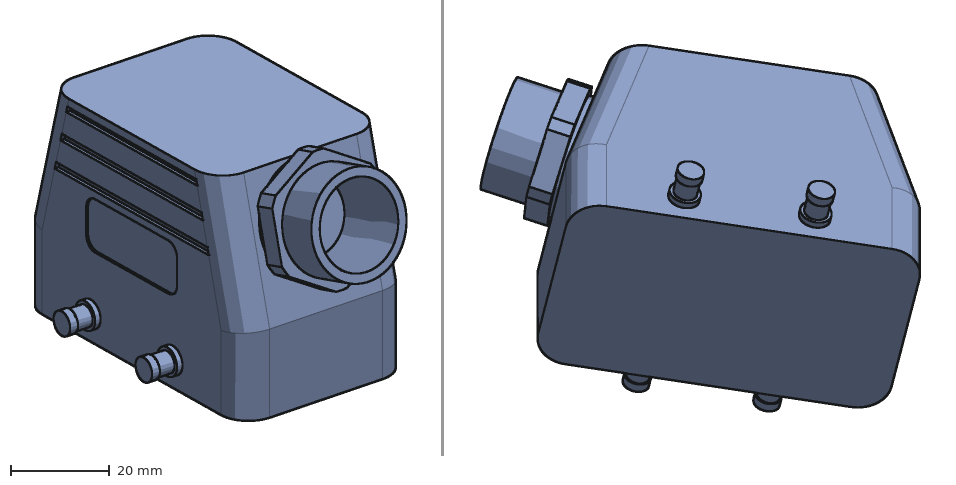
import cadquery as cq
import math

BODY_LENGTH = 73.0
BODY_WIDTH = 43.0
BODY_HEIGHT = 52.0
BEND_HEIGHT = 20.0
END_TILT = 15.0
CORNER_RADIUS = 7.0

GROOVES = [(50.0, 1.3), (43.2, 1.6), (36.1, 1.6)]
GROOVE_DEPTH = 1.0

PANEL_LENGTH = 30.0
PANEL_HEIGHT = 12.0
PANEL_RADIUS = 3.0
PANEL_DEPTH = 0.5
PANEL_CENTER_HEIGHT = 26.7

PIN_SPACING = 27.0
PIN_HEIGHT = 6.3
PIN_COLLAR = (6.5, 1.4)
PIN_STEM = (4.9, 4.0)
PIN_HEAD = (5.5, 2.0)

GLAND_HEIGHT = 39.0
COLLAR_DIAMETER = 26.0
COLLAR_LENGTH = 1.5
HEX_SIDES = 6
HEX_ACROSS_FLATS = 27.0
HEX_CORNER_DIAMETER = 29.7
HEX_LENGTH = 5.0
SLEEVE_DIAMETER = 24.0
SLEEVE_LENGTH = 10.0
BORE_MOUTH_DIAMETER = 19.8
BORE_INNER_DIAMETER = 17.0

HALF_LENGTH = BODY_LENGTH / 2
HALF_WIDTH = BODY_WIDTH / 2
TILT_TANGENT = math.tan(math.radians(END_TILT))


def end_wall_x(height):
    """X of the leaning +X end wall at a height above the bend line."""
    return HALF_LENGTH - (height - BEND_HEIGHT) * TILT_TANGENT


def make_body():
    """Solid hood with leaning end walls and rounded corners."""
    top_x = end_wall_x(BODY_HEIGHT)
    outline = [
        (-HALF_LENGTH, 0),
        (HALF_LENGTH, 0),
        (HALF_LENGTH, BEND_HEIGHT),
        (top_x, BODY_HEIGHT),
        (-top_x, BODY_HEIGHT),
        (-HALF_LENGTH, BEND_HEIGHT),
    ]
    block = cq.Workplane("XZ").polyline(outline).close().extrude(HALF_WIDTH, both=True)
    return block.edges("not (|X or |Y)").fillet(CORNER_RADIUS)


def front_plane():
    """Workplane on the front wall; extruding by a negative distance goes into the body."""
    return cq.Workplane("XZ", origin=(0, -HALF_WIDTH, 0))


def make_groove(top, height):
    """Groove across the flat part of the front wall, ending where the corners start to curve."""
    corner_setback = CORNER_RADIUS / math.cos(math.radians(END_TILT))
    bottom = top - height
    top_x = end_wall_x(top) - corner_setback
    bottom_x = end_wall_x(bottom) - corner_setback
    outline = [(-bottom_x, bottom), (bottom_x, bottom), (top_x, top), (-top_x, top)]
    return front_plane().polyline(outline).close().extrude(-GROOVE_DEPTH)


def make_panel():
    """Cutter for the name panel, with rounded corners."""
    panel = front_plane().center(0, PANEL_CENTER_HEIGHT).rect(PANEL_LENGTH, PANEL_HEIGHT)
    return panel.extrude(-PANEL_DEPTH).edges("|Y").fillet(PANEL_RADIUS)


def make_pin(x):
    """Stepped pin standing on the front wall."""
    pin = None
    base = HALF_WIDTH
    for diameter, length in (PIN_COLLAR, PIN_STEM, PIN_HEAD):
        step = cq.Workplane("XZ", origin=(x, -base, PIN_HEIGHT)).circle(diameter / 2).extrude(length)
        pin = step if pin is None else pin.union(step)
        base += length
    return pin


def gland_plane(offset):
    """Plane square to the gland axis at a distance from the end wall; its local x runs along Y."""
    tilt = math.radians(END_TILT)
    axis = cq.Vector(math.cos(tilt), 0, math.sin(tilt))
    foot = cq.Vector(end_wall_x(GLAND_HEIGHT), 0, GLAND_HEIGHT)
    return cq.Workplane(cq.Plane(foot + axis * offset, (0, 1, 0), axis))


def make_gland():
    """Round collar, hexagon with turned-off corners, and round sleeve in line."""
    hex_start = COLLAR_LENGTH
    sleeve_start = hex_start + HEX_LENGTH
    hex_corner_span = HEX_ACROSS_FLATS / math.cos(math.pi / HEX_SIDES)
    half_side_angle = 180 / HEX_SIDES
    collar = gland_plane(0).circle(COLLAR_DIAMETER / 2).extrude(COLLAR_LENGTH)
    hexagon = (
        gland_plane(hex_start)
        .transformed(rotate=(0, 0, half_side_angle))
        .polygon(HEX_SIDES, hex_corner_span)
        .extrude(HEX_LENGTH)
    )
    turned_blank = gland_plane(hex_start).circle(HEX_CORNER_DIAMETER / 2).extrude(HEX_LENGTH)
    sleeve = gland_plane(sleeve_start).circle(SLEEVE_DIAMETER / 2).extrude(SLEEVE_LENGTH)
    return collar.union(hexagon.intersect(turned_blank)).union(sleeve)


def make_bore():
    """Tapered bore through the whole gland, narrowing towards the end wall."""
    return (
        gland_plane(0)
        .circle(BORE_INNER_DIAMETER / 2)
        .workplane(offset=COLLAR_LENGTH + HEX_LENGTH + SLEEVE_LENGTH)
        .circle(BORE_MOUTH_DIAMETER / 2)
        .loft()
    )


result = make_body()
for groove_top, groove_height in GROOVES:
    result = result.cut(make_groove(groove_top, groove_height))
result = result.cut(make_panel())
for pin_x in (-PIN_SPACING / 2, PIN_SPACING / 2):
    front_pin = make_pin(pin_x)
    result = result.union(front_pin).union(front_pin.mirror("XZ"))
result = result.union(make_gland()).cut(make_bore())